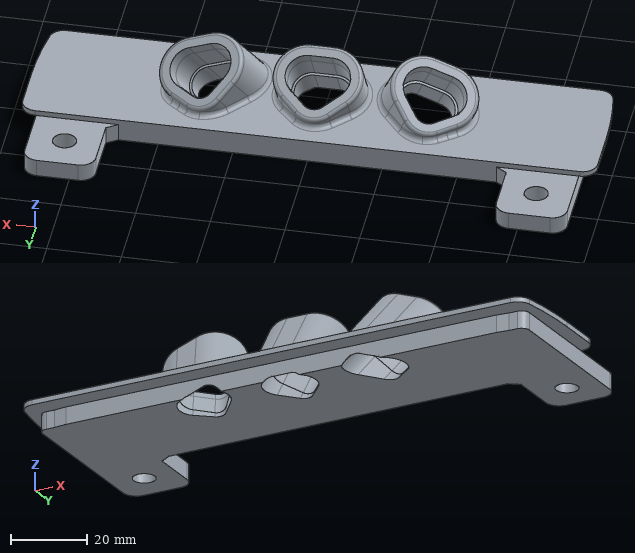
import cadquery as cq
import math

base_height = 5.0
plate_thickness = 1.5
plate_top = base_height + plate_thickness

plate_width = 154.0
plate_depth = 37.0
plate_front_width = 149.6
plate_side_straight = 16.0
plate_corner_radius = 4.0

base_width = 145.4
total_depth = 56.8
base_front_y = 5.5
base_corner_radius = 2.35
front_half_width = 64.3
front_step_half_width = 67.9
front_step_depth = 0.37
tab_width = 19.1
tab_corner_radius = 4.0
tab_hole_diameter = 6.3
tab_hole_from_back = 10.0
tab_chamfer_x = 3.0
tab_chamfer_y = 2.0

lean_back = 35.0
lean_sideways = 20.0
flat_half_width = 3.0
corner_radius = 5.7
roof_slope = 42.0
apex_radius = 3.7
wall = 3.3
socket_length = 30.0
rim_fillet = 1.0
foot_fillet = 1.2

mouth_depth = 3.5
mouth_flare = 0.3
throat_start = 12.7
throat_step = 0.7

rim_y = 14.9
middle_rim_z = 22.0
side_rim_x = 33.2
side_rim_z = 21.07


def make_plate():
    half_width = plate_width / 2
    front_half = plate_front_width / 2
    side_curve_start = plate_depth - plate_side_straight
    outline = (
        cq.Workplane("XY", origin=(0, 0, base_height))
        .moveTo(-front_half, 0)
        .lineTo(front_half, 0)
        .radiusArc((half_width, side_curve_start), -side_curve_radius())
        .lineTo(half_width, plate_depth)
        .lineTo(-half_width, plate_depth)
        .lineTo(-half_width, side_curve_start)
        .radiusArc((-front_half, 0), -side_curve_radius())
        .close()
    )
    plate = outline.extrude(plate_thickness)
    for end_face in ("<Y", ">Y"):
        plate = plate.faces(end_face).edges("|Z").fillet(plate_corner_radius)
    return plate


def side_curve_radius():
    """Radius of the arc that leaves the straight side tangentially and meets the front edge."""
    run = plate_depth - plate_side_straight
    inset = (plate_width - plate_front_width) / 2
    return (run**2 + inset**2) / (2 * inset)


def make_base():
    half_width = base_width / 2
    tab_inner = half_width - tab_width
    step_y = base_front_y + front_step_depth
    right_half = [
        (front_half_width, base_front_y),
        (front_step_half_width, step_y),
        (half_width, step_y),
        (half_width, total_depth),
        (tab_inner, total_depth),
        (tab_inner, plate_depth + tab_chamfer_y),
        (tab_inner - tab_chamfer_x, plate_depth),
    ]
    left_half = [(-x, y) for x, y in reversed(right_half)]
    base = cq.Workplane("XY").polyline(right_half + left_half).close().extrude(base_height)
    base = base.edges("|Z and (>X or <X)").edges("<Y").fillet(base_corner_radius)
    base = base.faces(">Y").edges("|Z").fillet(tab_corner_radius)
    hole_x = half_width - tab_width / 2
    hole_y = total_depth - tab_hole_from_back
    holes = (
        cq.Workplane("XY")
        .pushPoints([(-hole_x, hole_y), (hole_x, hole_y)])
        .circle(tab_hole_diameter / 2)
        .extrude(base_height)
    )
    return base.cut(holes)


def socket_plane(rim_point, sideways):
    """Rim plane of a socket; its normal runs up the tube and its Y axis points to the apex."""
    back = math.radians(lean_back)
    side = math.radians(sideways)
    normal = (
        math.cos(back) * math.sin(side),
        math.sin(back),
        math.cos(back) * math.cos(side),
    )
    return cq.Plane(rim_point, (math.cos(side), 0, -math.sin(side)), normal)


def socket_outline(workplane, growth):
    """Section of a socket, grown outward from the mouth opening by the given amount."""
    slope = math.radians(roof_slope)
    corner = corner_radius + growth
    apex = apex_radius + growth
    corner_y = wall + corner_radius
    roof_reach = flat_half_width * math.sin(slope) + corner_radius - apex_radius
    apex_y = corner_y + roof_reach / math.cos(slope)

    def on_corner(degrees):
        angle = math.radians(degrees)
        return flat_half_width + corner * math.cos(angle), corner_y + corner * math.sin(angle)

    def mirrored(point):
        return -point[0], point[1]

    flat_end = on_corner(-90)
    corner_middle = on_corner(-roof_slope / 2)
    roof_start = on_corner(90 - roof_slope)
    roof_end = (apex * math.sin(slope), apex_y + apex * math.cos(slope))
    return (
        workplane.moveTo(*mirrored(flat_end))
        .lineTo(*flat_end)
        .threePointArc(corner_middle, roof_start)
        .lineTo(*roof_end)
        .threePointArc((0, apex_y + apex), mirrored(roof_end))
        .lineTo(*mirrored(roof_start))
        .threePointArc(mirrored(corner_middle), mirrored(flat_end))
        .close()
    )


def make_tube(plane):
    tube = socket_outline(cq.Workplane(plane), wall).extrude(-socket_length)
    tube = tube.faces(cq.selectors.DirectionMinMaxSelector(plane.zDir)).edges().fillet(rim_fillet)
    middle_of_plate = cq.Workplane("XY", origin=(0, 0, base_height + plate_thickness / 2))
    room_above = middle_of_plate.rect(2 * plate_width, 4 * plate_depth).extrude(2 * socket_length)
    return tube.intersect(room_above)


def make_bore(plane):
    middle_growth = -mouth_flare
    throat_growth = middle_growth - throat_step
    rim = cq.Workplane(plane)
    mouth_end = rim.workplane(offset=-mouth_depth)
    throat_top = rim.workplane(offset=-throat_start)
    mouth = socket_outline(rim, 0).workplane(offset=-mouth_depth)
    mouth = socket_outline(mouth, middle_growth).loft(ruled=True)
    straight = socket_outline(mouth_end, middle_growth).extrude(mouth_depth - throat_start)
    throat = socket_outline(throat_top, throat_growth).extrude(throat_start - socket_length)
    return mouth.union(straight).union(throat)


def round_socket_feet(cover):
    """Blend the sockets into the plate; the plate's own rim edges lie outside the selection."""
    margin = foot_fillet / 2
    sockets_half_width = side_rim_x + 4 * corner_radius
    foot_edges = cq.selectors.BoxSelector(
        (-sockets_half_width, margin, plate_top - margin),
        (sockets_half_width, plate_depth - margin, plate_top + margin),
    )
    return cover.edges(foot_edges).fillet(foot_fillet)


socket_planes = [
    socket_plane((-side_rim_x, rim_y, side_rim_z), -lean_sideways),
    socket_plane((0, rim_y, middle_rim_z), 0),
    socket_plane((side_rim_x, rim_y, side_rim_z), lean_sideways),
]

cover = make_plate()
for plane in socket_planes:
    cover = cover.union(make_tube(plane))
cover = round_socket_feet(cover)

result = cover.union(make_base())
for plane in socket_planes:
    result = result.cut(make_bore(plane))